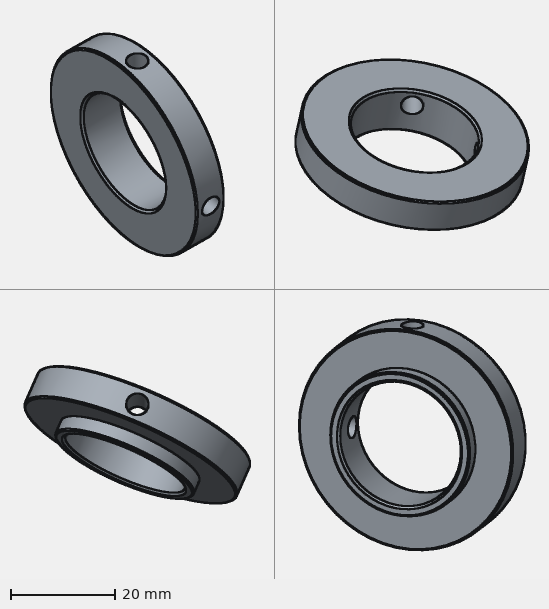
import cadquery as cq

flange_diameter = 44.5
hub_diameter = 29.0
bore_diameter = 25.0
flange_width = 7.0
total_width = 10.0
edge_chamfer = 0.3
bore_chamfer = 0.5
screw_hole_diameter = 4.25
screw_hole_angles = (0, 90)

screw_hole_y = flange_width / 2


def disc(diameter, width):
    """Solid disc from the front face towards +Y."""
    return cq.Workplane("XZ").circle(diameter / 2).extrude(-width)


def screw_hole(angle):
    """Radial cutter from the ring axis out through the rim."""
    along_x = (
        cq.Workplane("YZ")
        .center(screw_hole_y, 0)
        .circle(screw_hole_diameter / 2)
        .extrude(flange_diameter)
    )
    return along_x.rotate((0, 0, 0), (0, 1, 0), -angle)


flange = disc(flange_diameter, flange_width).edges().chamfer(edge_chamfer)
hub = disc(hub_diameter, total_width).faces(">Y").edges().chamfer(edge_chamfer)
body = flange.union(hub)

body = body.cut(disc(bore_diameter, total_width))
bore_edges = cq.selectors.RadiusNthSelector(0)
body = body.faces("<Y or >Y").edges(bore_edges).chamfer(bore_chamfer)

for hole_angle in screw_hole_angles:
    body = body.cut(screw_hole(hole_angle))

result = body